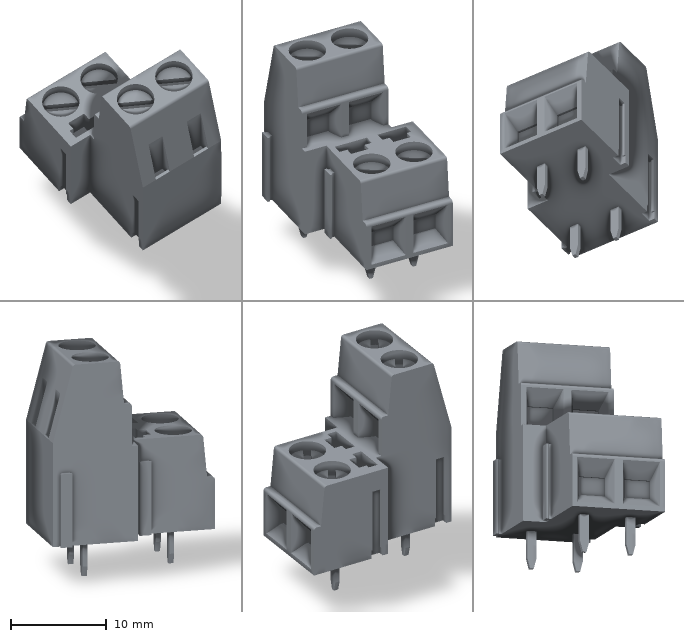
import cadquery as cq


tier_width = 10.15
tier_shift_y = 2.51
length = 18.3
split_x = 9.05
rear_face_x = 9.73
deck_z = 10.27
top_z = 19.5
overall_height = 23.5
lower_shelf_z = 5.65
upper_shelf_z = lower_shelf_z + top_z - deck_z
shelf_depth = 0.85
slope_run = 0.45
rear_top_x = 16.1
rear_slope_z = 11.2
edge_radius = 0.3

terminal_pitch = 4.95
terminal_ys = [(tier_width + side * terminal_pitch) / 2 for side in (-1, 1)]

screw_hole_diameter = 3.9
screw_head_diameter = 3.8
screw_inset = 3.78
screw_recess = 1.0
slot_width = 0.82
slot_depth = 0.7
slot_angle = 60

entry_width = 4.05
entry_bottom_z = 0.5
entry_top_z = 5.25
throat_width = 2.82
throat_bottom_z = 1.53
throat_top_z = 3.48
funnel_depth = 1.45
throat_depth = 0.28
rear_entry_rise = 9.16

tee_depth = 2.35
tee_stem_x = 6.46
tee_bar_x = 7.35
tee_end_x = 8.45
tee_stem_width = 2.05
tee_bar_ranges = [(1.1, 4.45), (5.7, 9.47)]

notch_width = 1.8
notch_x = 17.01
notch_lip_x = 17.98
notch_floor_z = deck_z

dovetail_height = 7.95
front_dovetail_x = 7.68
rear_dovetail_x = 16.97
key_width = 1.27
key_neck_width = 0.9
key_depth = 0.59
key_head_depth = 0.24
key_shoulder_depth = 0.33
groove_mouth_width = 1.05
groove_width = 1.39
groove_mouth_depth = 0.3
groove_depth = 0.65
lead_in_height = 0.95

pin_length = overall_height - top_z
pin_thickness = 0.52
pin_width = 0.99
pin_tip_width = 0.4
pin_tip_length = 1.1
pin_pitch = 5.08
pin_first_y = 2.51
front_pin_x = 4.1
rear_pin_x = 14.22


def box(x_range, y_range, z_range):
    """Axis-aligned box between the given limits."""
    size = [high - low for low, high in (x_range, y_range, z_range)]
    corner = (x_range[0], y_range[0], z_range[0])
    return cq.Workplane("XY").box(*size, centered=False).translate(corner)


def centered_range(middle, width):
    return middle - width / 2, middle + width / 2


def side_profile(points, y_start):
    """Extrude an XZ outline over the width of one tier."""
    outline = cq.Workplane("XZ").polyline(points).close()
    return outline.extrude(-tier_width).translate((0, y_start, 0))


def round_edges(tier, corners):
    """Round the edges along Y that pass through the given XZ corners."""
    for x, z in corners:
        nearest = cq.selectors.NearestToPointSelector((x, tier.val().Center().y, z))
        tier = tier.edges("|Y").edges(nearest).fillet(edge_radius)
    return tier


def front_tier():
    shelf = (0, lower_shelf_z)
    crest = (shelf_depth + slope_run, deck_z)
    points = [
        (0, 0),
        shelf,
        (shelf_depth, lower_shelf_z),
        crest,
        (rear_face_x, deck_z),
        (rear_face_x, 0),
    ]
    tier = side_profile(points, 0)
    tier = round_edges(tier, [shelf, crest])
    return tier.intersect(box((0, split_x), (0, tier_width), (0, deck_z)))


def rear_tier():
    shelf = (rear_face_x, upper_shelf_z)
    crest = (rear_face_x + shelf_depth + slope_run, top_z)
    back_crest = (rear_top_x, top_z)
    points = [
        (split_x, 0),
        (split_x, deck_z),
        (rear_face_x, deck_z),
        shelf,
        (rear_face_x + shelf_depth, upper_shelf_z),
        crest,
        back_crest,
        (length, rear_slope_z),
        (length, 0),
    ]
    tier = side_profile(points, tier_shift_y)
    return round_edges(tier, [shelf, crest, back_crest])


def screw_recess_cut(x, y, face_z):
    """Screw hole, leaving a slotted screw head standing below the surface."""
    depth = screw_recess + slot_depth
    hole = cq.Workplane("XY").circle(screw_hole_diameter / 2).extrude(-depth)
    head = (
        cq.Workplane("XY", origin=(0, 0, -depth))
        .circle(screw_head_diameter / 2)
        .extrude(slot_depth)
    )
    slot = (
        cq.Workplane("XY")
        .rect(screw_hole_diameter, slot_width)
        .extrude(-depth)
        .rotate((0, 0, 0), (0, 0, 1), slot_angle)
    )
    return hole.cut(head.cut(slot)).translate((x, y, face_z))


def wire_entry_cut(face_x, y, base_z):
    """Tapered funnel ending in a short straight throat."""
    entry_height = entry_top_z - entry_bottom_z
    throat_height = throat_top_z - throat_bottom_z
    entry_z = (entry_top_z + entry_bottom_z) / 2
    throat_z = (throat_top_z + throat_bottom_z) / 2
    funnel = (
        cq.Workplane("YZ", origin=(0, 0, entry_z))
        .rect(entry_width, entry_height)
        .workplane(offset=funnel_depth)
        .center(0, throat_z - entry_z)
        .rect(throat_width, throat_height)
        .loft(ruled=True)
    )
    throat = box(
        (funnel_depth, funnel_depth + throat_depth),
        centered_range(0, throat_width),
        (throat_bottom_z, throat_top_z),
    )
    return funnel.union(throat).translate((face_x, y, base_z))


def rear_entry_cut(y):
    """Rear wire entry, whose straight sides run down to the deck as its floor."""
    upper_half = wire_entry_cut(rear_face_x, y, rear_entry_rise)
    end_x = rear_face_x + funnel_depth
    throat_middle_z = rear_entry_rise + (throat_bottom_z + throat_top_z) / 2
    half_entry = entry_width / 2
    half_throat = throat_width / 2
    plan = [
        (rear_face_x, y - half_entry),
        (end_x, y - half_throat),
        (end_x + throat_depth, y - half_throat),
        (end_x + throat_depth, y + half_throat),
        (end_x, y + half_throat),
        (rear_face_x, y + half_entry),
    ]
    lower_half = (
        cq.Workplane("XY", origin=(0, 0, deck_z))
        .polyline(plan)
        .close()
        .extrude(throat_middle_z - deck_z)
    )
    above_deck = box(
        (rear_face_x, length),
        centered_range(y, entry_width),
        (deck_z, top_z),
    )
    return upper_half.intersect(above_deck).union(lower_half)


def tee_cut(stem_y, bar_range):
    z_range = (deck_z - tee_depth, deck_z)
    stem = box((tee_stem_x, tee_end_x), centered_range(stem_y, tee_stem_width), z_range)
    bar = box((tee_bar_x, tee_end_x), bar_range, z_range)
    return stem.union(bar)


def back_notch_cut(y):
    """Notch in the back slope, with a raised lip at the rear face."""
    y_range = centered_range(y, notch_width)
    pocket = box((notch_x, notch_lip_x), y_range, (notch_floor_z, top_z))
    above_lip = box((notch_lip_x, length), y_range, (rear_slope_z, top_z))
    return pocket.union(above_lip)


def dovetail_key(x, side_y):
    half_head = key_width / 2
    half_neck = key_neck_width / 2
    tip_y = side_y + key_depth
    points = [
        (x - half_neck, side_y),
        (x - half_neck, tip_y - key_shoulder_depth),
        (x - half_head, tip_y - key_head_depth),
        (x - half_head, tip_y),
        (x + half_head, tip_y),
        (x + half_head, tip_y - key_head_depth),
        (x + half_neck, tip_y - key_shoulder_depth),
        (x + half_neck, side_y),
    ]
    return cq.Workplane("XY").polyline(points).close().extrude(dovetail_height)


def dovetail_groove_cut(x, side_y):
    """Undercut groove that opens to its full width near the underside."""
    groove_end = side_y + groove_depth
    wide_range = centered_range(x, groove_width)
    mouth = box(
        centered_range(x, groove_mouth_width),
        (side_y, groove_end),
        (0, dovetail_height),
    )
    undercut = box(wide_range, (side_y + groove_mouth_depth, groove_end), (0, dovetail_height))
    lead_in = box(wide_range, (side_y, groove_end), (0, lead_in_height))
    return mouth.union(undercut).union(lead_in)


def solder_pin(x, y):
    half_width = pin_width / 2
    half_tip = pin_tip_width / 2
    taper_z = pin_tip_length - pin_length
    points = [
        (-half_width, 0),
        (half_width, 0),
        (half_width, taper_z),
        (half_tip, -pin_length),
        (-half_tip, -pin_length),
        (-half_width, taper_z),
    ]
    blade = cq.Workplane("YZ").polyline(points).close().extrude(pin_thickness / 2, both=True)
    return blade.translate((x, y, 0))


result = front_tier().union(rear_tier())

for front_y, bar_range in zip(terminal_ys, tee_bar_ranges):
    rear_y = front_y + tier_shift_y
    result = result.cut(screw_recess_cut(screw_inset, front_y, deck_z))
    result = result.cut(screw_recess_cut(rear_face_x + screw_inset, rear_y, top_z))
    result = result.cut(wire_entry_cut(0, front_y, 0))
    result = result.cut(rear_entry_cut(rear_y))
    result = result.cut(tee_cut(front_y, bar_range))
    result = result.cut(back_notch_cut(rear_y))

for dovetail_x, side_y in [(front_dovetail_x, 0), (rear_dovetail_x, tier_shift_y)]:
    result = result.cut(dovetail_groove_cut(dovetail_x, side_y))
    result = result.union(dovetail_key(dovetail_x, side_y + tier_width))

for terminal in range(len(terminal_ys)):
    pin_y = pin_first_y + terminal * pin_pitch
    result = result.union(solder_pin(front_pin_x, pin_y))
    result = result.union(solder_pin(rear_pin_x, pin_y + pin_pitch / 2))